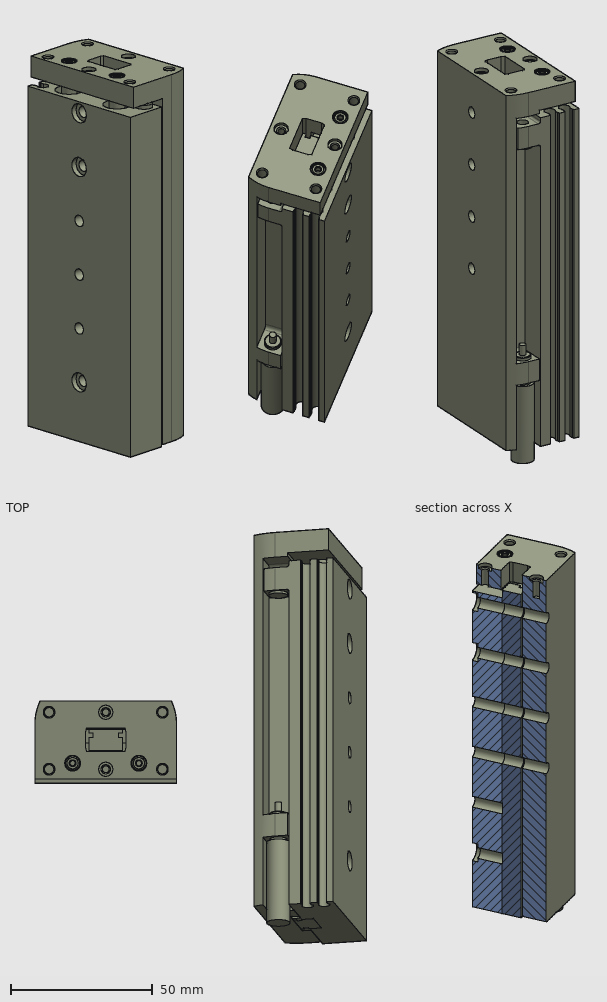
import cadquery as cq
import math

WIDTH = 50.0
DEPTH = 29.0
HEIGHT = 142.4
HALF_WIDTH = WIDTH / 2

HOUSING_BOTTOM = 5.3
HOUSING_TOP = 131.6
HOUSING_BACK = 16.0
SLOT_CENTERS_Y = (4.0, 10.0)
SLOT_MOUTH_WIDTH = 3.5
SLOT_MOUTH_DEPTH = 0.9
SLOT_NECK_WIDTH = 3.1
SLOT_BORE_DIAMETER = 4.0
SLOT_BORE_INSET = 3.5

PLATE_BOTTOM = 134.5
PLATE_FRONT = 1.5
TABLE_BOTTOM = 6.0
CORE_FRONT = 16.4
BACK_PLATE_FRONT = 25.5
ROUNDED_SIDE_START = 21.0
ROUNDED_SIDE_INSET = 1.9
POCKET_WALL_X = -15.1
POCKET_TOP = 133.3
POCKET_FILLET = 1.4
STOP_BLOCK_TOP = 39.0
STOP_BLOCK_BOTTOM = 30.8

WINDOW_HALF_WIDTH = 7.1
WINDOW_FRONT = 11.2
WINDOW_BACK = 19.5
WINDOW_CORNER_X = 0.4
WINDOW_CORNER_Y = 1.3
RAIL_HALF_WIDTH = 5.8
RAIL_FRONT = 11.7
RAIL_BACK = 19.1
RAIL_GROOVE_DEPTH = 1.3
RAIL_GROOVE_FRONT = 16.1
RAIL_GROOVE_BACK = 17.8
GUIDE_TOP = 129.6
GUIDE_FRONT = 14.2
GUIDE_CHANNEL_HALF_WIDTH = 7.7
GUIDE_CHANNEL_TOP = 130.5

CORNER_HOLE_X = 20.0
PLATE_HOLE_FRONT_Y = 5.0
PLATE_HOLE_BACK_Y = 25.0
CORNER_HOLE_DIAMETER = 3.3
CORNER_HOLE_DEPTH = 6.0
CORNER_CHAMFER_DIAMETER = 4.1
SCREW_BORE_DIAMETER = 5.0
SCREW_BORE_DEPTH = 1.3
SCREW_HOLE_DIAMETER = 2.4
SCREW_CHAMFER_DIAMETER = 3.3

ROD_X = 11.7
ROD_POSITIONS_X = (-ROD_X, ROD_X)
ROD_Y = 7.1
ROD_DIAMETER = 5.5
ROD_RECESS_DIAMETER = 10.0
ROD_RECESS_DEPTH = 4.3
ROD_END_DIAMETER = 5.0
ROD_END_CHAMFER_DIAMETER = 4.0
ROD_MOUTH_DIAMETER = 5.5
ROD_SOCKET_DIAMETER = 1.9
ROD_SOCKET_CHAMFER_DIAMETER = 2.4
ROD_SOCKET_DEPTH = 2.1

MOUNT_TOP_Z = 127.3
MOUNT_SPAN = 100.0
MOUNT_COUNT = 6
MOUNT_PITCH = MOUNT_SPAN / (MOUNT_COUNT - 1)
MOUNT_HEIGHTS = [MOUNT_TOP_Z - i * MOUNT_PITCH for i in range(MOUNT_COUNT)]
MOUNT_THROUGH_COUNT = 4
MOUNT_BORED_INDEXES = (0, 1, 5)
MOUNT_DIAMETER = 4.1
MOUNT_BORE_DIAMETER = 7.0
MOUNT_BORE_DEPTH = 2.1

STOP_X = -20.8
STOP_Y = 20.8
EAR_TOP = 129.5
EAR_BOTTOM = 121.2
EAR_BACK = 25.0
EAR_INNER_X = -15.7
EAR_FILLET = 0.9
BUMPER_DIAMETER = 6.7
BUMPER_HEIGHT = 0.9
EAR_HOLE_DIAMETER = 4.1
EAR_HOLE_DEPTH = 2.8

ABSORBER_DIAMETER = 8.3
ABSORBER_SHOULDER = 29.6
ABSORBER_NECK_DIAMETER = 6.0
ABSORBER_NECK_TOP = 40.3
ABSORBER_NECK_CHAMFER = 0.3
ABSORBER_PIN_DIAMETER = 2.4
ABSORBER_PIN_TOP = 44.1

PLUG_X = 20.1
PLUG_Y = 12.0
PLUG_DIAMETER = 6.3
PLUG_HEIGHT = 1.4
PLUG_TIP_DIAMETER = 2.8
PLUG_TIP_HEIGHT = 0.5


def box(x_min, x_max, y_min, y_max, z_min, z_max):
    """Box between two opposite corners."""
    return (
        cq.Workplane("XY")
        .box(x_max - x_min, y_max - y_min, z_max - z_min, centered=False)
        .translate((x_min, y_min, z_min))
    )


def upright_cylinder(x, y, diameter, z_min, z_max):
    """Cylinder along Z."""
    return cq.Workplane("XY", origin=(x, y, z_min)).circle(diameter / 2).extrude(z_max - z_min)


def upright_cone(x, y, bottom_diameter, top_diameter, z_min, z_max):
    """Cone frustum along Z, used for chamfered rims."""
    return cq.Workplane(
        cq.Solid.makeCone(bottom_diameter / 2, top_diameter / 2, z_max - z_min, pnt=cq.Vector(x, y, z_min))
    )


def rim_chamfer(x, y, hole_diameter, rim_diameter, z_top):
    """45-degree chamfer cutter for the upper rim of a hole."""
    depth = (rim_diameter - hole_diameter) / 2
    return upright_cone(x, y, hole_diameter, rim_diameter, z_top - depth, z_top)


def front_hole(z, diameter, depth):
    """Hole cutter along +Y, starting at the front face on the middle plane."""
    return cq.Workplane("XZ", origin=(0, 0, z)).circle(diameter / 2).extrude(-depth)


def rounded_side_section(z_min, z_max):
    """Full-width block from the front face to the back, its sides curving inwards near the back."""
    rise = DEPTH - ROUNDED_SIDE_START
    radius = (rise**2 + ROUNDED_SIDE_INSET**2) / (2 * ROUNDED_SIDE_INSET)
    half_angle = math.asin(rise / radius) / 2
    mid_x = HALF_WIDTH - radius * (1 - math.cos(half_angle))
    mid_y = ROUNDED_SIDE_START + radius * math.sin(half_angle)
    back_x = HALF_WIDTH - ROUNDED_SIDE_INSET
    return (
        cq.Workplane("XY", origin=(0, 0, z_min))
        .moveTo(-HALF_WIDTH, 0)
        .lineTo(HALF_WIDTH, 0)
        .lineTo(HALF_WIDTH, ROUNDED_SIDE_START)
        .threePointArc((mid_x, mid_y), (back_x, DEPTH))
        .lineTo(-back_x, DEPTH)
        .threePointArc((-mid_x, mid_y), (-HALF_WIDTH, ROUNDED_SIDE_START))
        .close()
        .extrude(z_max - z_min)
    )


def rail_section(z_min, z_max):
    """Rail with a groove along each side; it is both the rail and its bed in the housing."""
    half = RAIL_HALF_WIDTH
    neck = half - RAIL_GROOVE_DEPTH
    rail = box(-half, half, RAIL_FRONT, RAIL_BACK, z_min, z_max)
    for x_min, x_max in ((-half, -neck), (neck, half)):
        rail = rail.cut(box(x_min, x_max, RAIL_GROOVE_FRONT, RAIL_GROOVE_BACK, z_min, z_max))
    return rail


def cut_through_mounts(body):
    """Continue the upper mounting holes through a body behind the housing."""
    for z in MOUNT_HEIGHTS[:MOUNT_THROUGH_COUNT]:
        body = body.cut(front_hole(z, MOUNT_DIAMETER, DEPTH))
    return body


def side_slots():
    """Sensor slots along the left side: a wide mouth, a narrower neck and a round bore."""
    left = -HALF_WIDTH
    bore_x = left + SLOT_BORE_INSET
    slots = cq.Workplane("XY")
    for y in SLOT_CENTERS_Y:
        for width, depth in ((SLOT_MOUTH_WIDTH, SLOT_MOUTH_DEPTH), (SLOT_NECK_WIDTH, SLOT_BORE_INSET)):
            slots = slots.union(
                box(left, left + depth, y - width / 2, y + width / 2, HOUSING_BOTTOM, HOUSING_TOP)
            )
        slots = slots.union(upright_cylinder(bore_x, y, SLOT_BORE_DIAMETER, HOUSING_BOTTOM, HOUSING_TOP))
    return slots


def stop_ear():
    """Ear at the upper left of the housing, with its hole and the bumper under it."""
    ear = rounded_side_section(EAR_BOTTOM, EAR_TOP).intersect(
        box(-HALF_WIDTH, EAR_INNER_X, HOUSING_BACK, EAR_BACK, EAR_BOTTOM, EAR_TOP)
    )
    ear = ear.union(upright_cylinder(STOP_X, STOP_Y, BUMPER_DIAMETER, EAR_BOTTOM - BUMPER_HEIGHT, EAR_BOTTOM))
    return ear.cut(upright_cylinder(STOP_X, STOP_Y, EAR_HOLE_DIAMETER, EAR_TOP - EAR_HOLE_DEPTH, EAR_TOP))


def guide_flanges():
    """Two flanges standing out of the housing's back, which grip the rail between them."""
    half = GUIDE_CHANNEL_HALF_WIDTH
    return box(-half, half, HOUSING_BACK, RAIL_BACK, HOUSING_BOTTOM, GUIDE_TOP)


def top_plug():
    """Low plug on the housing's top face, at the right."""
    head_top = HOUSING_TOP + PLUG_HEIGHT
    head = upright_cylinder(PLUG_X, PLUG_Y, PLUG_DIAMETER, HOUSING_TOP, head_top)
    tip = upright_cylinder(PLUG_X, PLUG_Y, PLUG_TIP_DIAMETER, head_top, head_top + PLUG_TIP_HEIGHT)
    return head.union(tip)


def cut_rod_recesses(housing):
    floor = HOUSING_TOP - ROD_RECESS_DEPTH
    for x in ROD_POSITIONS_X:
        housing = housing.cut(upright_cylinder(x, ROD_Y, ROD_RECESS_DIAMETER, floor, HOUSING_TOP))
    return housing


def cut_mounting_holes(housing):
    for index, z in enumerate(MOUNT_HEIGHTS):
        housing = housing.cut(front_hole(z, MOUNT_DIAMETER, HOUSING_BACK))
        if index in MOUNT_BORED_INDEXES:
            housing = housing.cut(front_hole(z, MOUNT_BORE_DIAMETER, MOUNT_BORE_DEPTH))
    return housing


def guide_recess():
    """Step in the housing's top face, level with the tops of the guide flanges."""
    half = GUIDE_CHANNEL_HALF_WIDTH
    return box(-half, half, GUIDE_FRONT, HOUSING_BACK, GUIDE_TOP, HOUSING_TOP)


def make_housing():
    housing = box(-HALF_WIDTH, HALF_WIDTH, 0, HOUSING_BACK, HOUSING_BOTTOM, HOUSING_TOP)
    housing = housing.union(stop_ear())
    for z in (EAR_BOTTOM, EAR_TOP):
        inner_corner = cq.selectors.NearestToPointSelector(((EAR_INNER_X - HALF_WIDTH) / 2, HOUSING_BACK, z))
        housing = housing.edges("|X").edges(inner_corner).fillet(EAR_FILLET)
    housing = housing.union(guide_flanges())
    housing = housing.cut(guide_recess())
    housing = housing.cut(rail_section(HOUSING_BOTTOM, HOUSING_TOP))
    housing = housing.cut(side_slots())
    housing = cut_rod_recesses(housing)
    housing = cut_mounting_holes(housing)
    return housing.union(top_plug())


def stop_pocket(z_min, z_max):
    """Pocket cutter for the left side of the table's core, in front of the back plate."""
    return box(-HALF_WIDTH, POCKET_WALL_X, 0, BACK_PLATE_FRONT, z_min, z_max)


def guide_window():
    """Window for the guide, open through the whole height of the table."""
    corner_x = WINDOW_HALF_WIDTH - WINDOW_CORNER_X
    front_corner_y = WINDOW_FRONT + WINDOW_CORNER_Y
    back_corner_y = WINDOW_BACK - WINDOW_CORNER_Y
    return (
        cq.Workplane("XY")
        .polyline(
            [
                (-corner_x, WINDOW_FRONT),
                (corner_x, WINDOW_FRONT),
                (WINDOW_HALF_WIDTH, front_corner_y),
                (WINDOW_HALF_WIDTH, back_corner_y),
                (corner_x, WINDOW_BACK),
                (-corner_x, WINDOW_BACK),
                (-WINDOW_HALF_WIDTH, back_corner_y),
                (-WINDOW_HALF_WIDTH, front_corner_y),
            ]
        )
        .close()
        .extrude(HEIGHT)
    )


def guide_channel():
    """Wider channel below the window, in which the housing's guide flanges run."""
    half = GUIDE_CHANNEL_HALF_WIDTH
    return box(-half, half, CORE_FRONT, WINDOW_BACK, TABLE_BOTTOM, GUIDE_CHANNEL_TOP)


def cut_corner_holes(table):
    for x in (-CORNER_HOLE_X, CORNER_HOLE_X):
        for y in (PLATE_HOLE_FRONT_Y, PLATE_HOLE_BACK_Y):
            table = table.cut(
                upright_cylinder(x, y, CORNER_HOLE_DIAMETER, HEIGHT - CORNER_HOLE_DEPTH, HEIGHT)
            )
            table = table.cut(rim_chamfer(x, y, CORNER_HOLE_DIAMETER, CORNER_CHAMFER_DIAMETER, HEIGHT))
    return table


def cut_screw_holes(table):
    """Two counterbored holes on the middle plane."""
    bore_floor = HEIGHT - SCREW_BORE_DEPTH
    for y in (PLATE_HOLE_FRONT_Y, PLATE_HOLE_BACK_Y):
        table = table.cut(upright_cylinder(0, y, SCREW_BORE_DIAMETER, bore_floor, HEIGHT))
        table = table.cut(upright_cylinder(0, y, SCREW_HOLE_DIAMETER, PLATE_BOTTOM, bore_floor))
        table = table.cut(rim_chamfer(0, y, SCREW_HOLE_DIAMETER, SCREW_CHAMFER_DIAMETER, bore_floor))
    return table


def cut_rod_seats(table):
    """Chamfered holes that hold the upper ends of the piston rods."""
    for x in ROD_POSITIONS_X:
        table = table.cut(upright_cylinder(x, ROD_Y, ROD_END_DIAMETER, PLATE_BOTTOM, HEIGHT))
        table = table.cut(rim_chamfer(x, ROD_Y, ROD_END_DIAMETER, ROD_MOUTH_DIAMETER, HEIGHT))
    return table


def make_table():
    table = rounded_side_section(TABLE_BOTTOM, HEIGHT)
    table = table.cut(box(-HALF_WIDTH, HALF_WIDTH, 0, PLATE_FRONT, TABLE_BOTTOM, HEIGHT))
    table = table.cut(box(-HALF_WIDTH, HALF_WIDTH, 0, CORE_FRONT, TABLE_BOTTOM, PLATE_BOTTOM))
    table = table.cut(stop_pocket(STOP_BLOCK_TOP, POCKET_TOP).edges(">X and |Y").fillet(POCKET_FILLET))
    table = table.cut(stop_pocket(TABLE_BOTTOM, STOP_BLOCK_BOTTOM))
    table = table.cut(guide_window()).cut(guide_channel())
    table = cut_corner_holes(table)
    table = cut_screw_holes(table)
    table = cut_rod_seats(table)
    table = table.cut(
        upright_cylinder(STOP_X, STOP_Y, ABSORBER_NECK_DIAMETER, STOP_BLOCK_BOTTOM, STOP_BLOCK_TOP)
    )
    return cut_through_mounts(table)


def make_rail():
    return cut_through_mounts(rail_section(HOUSING_BOTTOM, PLATE_BOTTOM))


def make_rod(x):
    """Rod standing on the floor of its recess, its stepped end inside the end plate."""
    end_top = HEIGHT - (ROD_MOUTH_DIAMETER - ROD_END_DIAMETER) / 2
    chamfer = (ROD_END_DIAMETER - ROD_END_CHAMFER_DIAMETER) / 2
    rod = upright_cylinder(x, ROD_Y, ROD_DIAMETER, HOUSING_TOP - ROD_RECESS_DEPTH, PLATE_BOTTOM)
    end = upright_cylinder(x, ROD_Y, ROD_END_DIAMETER, PLATE_BOTTOM, end_top).faces(">Z").chamfer(chamfer)
    rod = rod.union(end)
    rod = rod.cut(upright_cylinder(x, ROD_Y, ROD_SOCKET_DIAMETER, end_top - ROD_SOCKET_DEPTH, end_top))
    return rod.cut(rim_chamfer(x, ROD_Y, ROD_SOCKET_DIAMETER, ROD_SOCKET_CHAMFER_DIAMETER, end_top))


def make_absorber():
    barrel = upright_cylinder(STOP_X, STOP_Y, ABSORBER_DIAMETER, 0, ABSORBER_SHOULDER)
    neck = upright_cylinder(STOP_X, STOP_Y, ABSORBER_NECK_DIAMETER, ABSORBER_SHOULDER, ABSORBER_NECK_TOP)
    neck = neck.faces(">Z").chamfer(ABSORBER_NECK_CHAMFER)
    pin = upright_cylinder(STOP_X, STOP_Y, ABSORBER_PIN_DIAMETER, ABSORBER_NECK_TOP, ABSORBER_PIN_TOP)
    return barrel.union(neck).union(pin)


housing = make_housing()
table = make_table()
rail = make_rail()
rods = [make_rod(x) for x in ROD_POSITIONS_X]
absorber = make_absorber()

result = cq.Compound.makeCompound(
    [housing.val(), table.val(), rail.val(), *[rod.val() for rod in rods], absorber.val()]
)